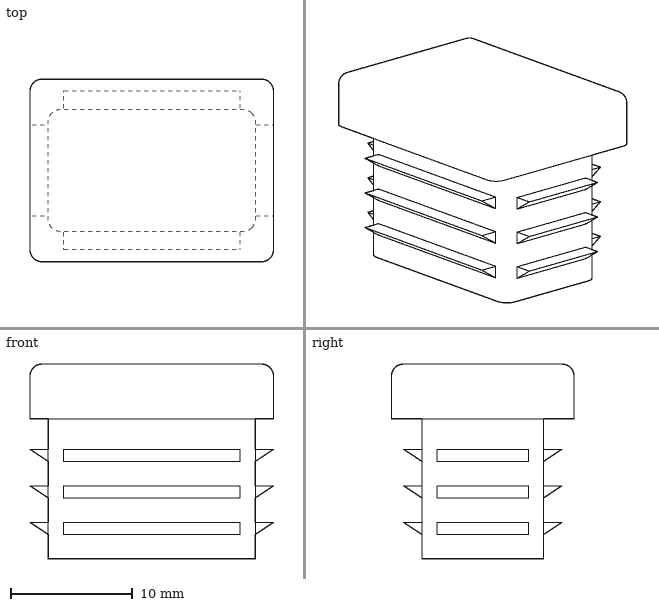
import cadquery as cq

cap_length = 20.0
cap_width = 15.0
cap_height = 4.5
edge_radius = 1.0

body_length = 17.0
body_width = 10.0
body_height = 11.5

barb_reach = 1.5
barb_height = 1.0
barb_pitch = 3.0
barb_rows = 3
barb_setback = 2.5
long_barb_length = body_length - barb_setback
short_barb_length = body_width - barb_setback


def make_cap():
    block = cq.Workplane("XY").workplane(offset=body_height).box(
        cap_length, cap_width, cap_height, centered=(True, True, False)
    )
    return block.edges("|Z or >Z").fillet(edge_radius)


def make_body():
    block = cq.Workplane("XY").box(
        body_length, body_width, body_height, centered=(True, True, False)
    )
    return block.edges("|Z").fillet(edge_radius)


def make_barb(face_distance, length, top_z):
    """Triangular barb on the +X side, its root on the plane X = face_distance."""
    profile = [
        (face_distance, top_z),
        (face_distance + barb_reach, top_z),
        (face_distance, top_z - barb_height),
    ]
    return cq.Workplane("XZ").polyline(profile).close().extrude(length / 2, both=True)


result = make_cap().union(make_body())

for row in range(1, barb_rows + 1):
    top_z = row * barb_pitch
    end_barb = make_barb(body_length / 2, short_barb_length, top_z)
    side_barb = make_barb(body_width / 2, long_barb_length, top_z)
    for barb, angles in ((end_barb, (0, 180)), (side_barb, (90, 270))):
        for angle in angles:
            result = result.union(barb.rotate((0, 0, 0), (0, 0, 1), angle))